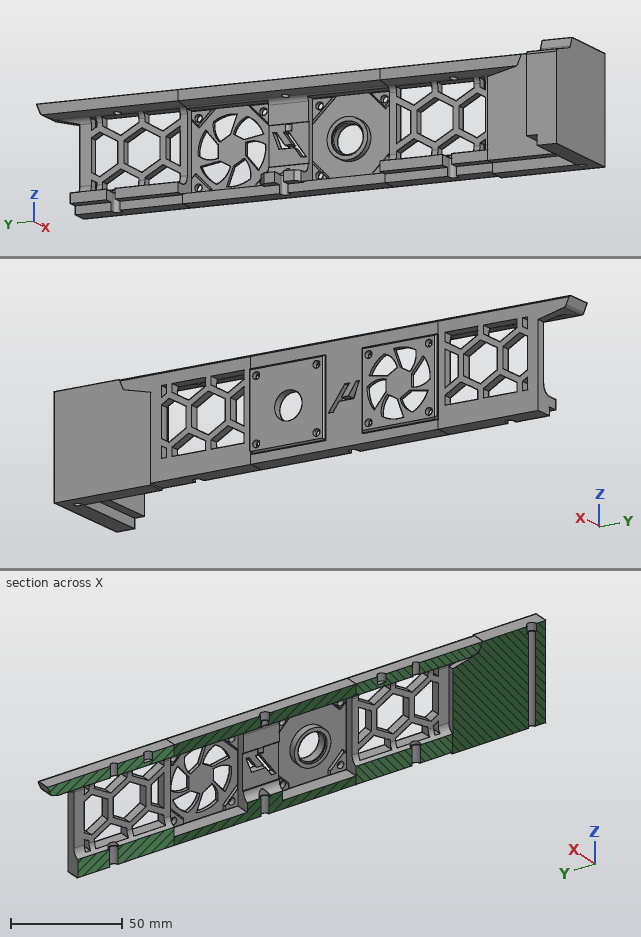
import cadquery as cq
import math

LENGTH = 275.0
HEIGHT = 52.5
OUTER_X = 52.5
DEPTH = 14.8
INNER_X = OUTER_X - DEPTH
CORNER_LENGTH = 51.5
CENTRE_LENGTH = 100.0
LAP = 16.8
CENTRE_Y = (LENGTH + CORNER_LENGTH - LAP) / 2
SEAM_Y = CENTRE_Y + CENTRE_LENGTH / 2
BODY_END_Y = LENGTH - LAP

RAIL_BOTTOM = 0.8
REBATE_TOP = 5.0
REBATE_X = INNER_X + 5.2
FLANGE_TOP = 10.0
FLANGE_FILLET = 5.0
WEB_X = 47.8
LIP_BOTTOM = 47.3
TOP_ROOT = 46.0
TOP_FILLET = 2.8
OUTER_CHAMFER = 0.8

SEAT_END = 43.7
SEAT_ROOT = 47.3
SEAT_LENGTH = 14.5
SEAT_FILLET = 2.0
END_CHAMFER_RISE = 1.0
END_CHAMFER_RUN = 0.5

SCREW_X = 44.8
SCREW_OFFSET = 83.3
PEG_OFFSET = 64.4
SCREW_HOLE = 3.5
SCREW_SLOT = 4.5
SCREW_SEAT = 5.5
PEG_HOLE = 4.5
PEG_DEPTH = 4.0
HEAD_HOLE = 5.0
HEAD_DEPTH = 4.0

CELL_FLATS = 18.0
CELL_PITCH = 21.0
CELL_Y = 227.5
CELL_Z = 29.0
WINDOW_Y = (208.5, 252.5)
WINDOW_Z = (11.5, 46.0)

COVER_SIZE = 40.2
COVER_Z = 25.5
COVER_INNER_X = 52.2
COVER_OUTER_X = 54.2
COVER_THICKNESS = COVER_OUTER_X - COVER_INNER_X
COVER_CHAMFER = 0.8
COVER_CLIP = 1.6
COVER_OFFSET = CENTRE_LENGTH / 2 - COVER_SIZE / 2
FAN_SCREW_PITCH = 32.2
FAN_SCREW_HOLE = 3.5
PAD_HEIGHT = 1.0
PAD_TAPER = 30
PAD_OUTLINES = {
    (1, 1): [(0, 0), (12.0, 0), (3.8, 8.2), (0, 4.5)],
    (-1, 1): [(0, 0), (12.0, 0), (0, 12.0)],
    (1, -1): [(0, 0), (10.2, 0), (10.2, 3.0), (2.2, 11.0), (0, 8.8)],
    (-1, -1): [(0, 0), (8.2, 0), (8.2, 3.0), (0, 11.3)],
}

BLADE_COUNT = 6
BLADE_RADIUS = 16.8
HUB_RADIUS = 7.5
HUB_HALF_ANGLE = 24
TIP_ANGLE = -39
LEADING_ANGLE = 3
SWEEP_RADIUS = 13.2
SWEEP_ANGLE = 13
BORE_SHIFT_Y = 1.0
BORE_SHIFT_Z = -0.8
COLLAR_DIAMETER = 20.0
COLLAR_HEIGHT = 3.5
BORE = 14.5
MOUTH = 16.0
MOUTH_DEPTH = 1.0

STRIP_WIDTH = CENTRE_LENGTH - 2 * COVER_SIZE
STRIP_CHAMFER = 2.5
RECESS_DEPTH = 0.5
RECESS_TOP = 34.0
GROOVE_WIDTH = 3.3
GROOVE_BOTTOM = 30.8
VENT_OUTLINES = [
    [(2.8, 30.5), (0.3, 30.5), (-8.5, 18.2), (-6.0, 18.2)],
    [(8.0, 30.8), (6.3, 30.8), (2.0, 24.2), (5.0, 22.8)],
    [(5.0, 24.5), (5.0, 22.8), (-3.8, 22.8), (-3.8, 24.5)],
]


def box(x, y, z):
    """Box between the (low, high) limits along each axis."""
    return cq.Workplane("XY").box(
        x[1] - x[0], y[1] - y[0], z[1] - z[0], centered=False
    ).translate((x[0], y[0], z[0]))


def prism_along_x(points, x_low, x_high):
    """Prism along X with an outline given as (y, z) points."""
    outline = cq.Workplane("YZ", origin=(x_low, 0, 0)).polyline(points).close()
    return outline.extrude(x_high - x_low)


def cylinder_along_z(diameter, x, y, z_low, z_high):
    circle = cq.Workplane("XY", origin=(x, y, z_low)).circle(diameter / 2)
    return circle.extrude(z_high - z_low)


def mirror_about_centre(body):
    """Mirror image about the middle of the rail."""
    return body.mirror("XZ", (0, CENTRE_Y, 0))


def channel(y_low, y_high):
    """Length of the rail's channel section, with filleted flange roots."""
    section = [
        (REBATE_X, RAIL_BOTTOM),
        (OUTER_X, RAIL_BOTTOM),
        (OUTER_X, HEIGHT - OUTER_CHAMFER),
        (OUTER_X - OUTER_CHAMFER, HEIGHT),
        (INNER_X, HEIGHT),
        (INNER_X, LIP_BOTTOM),
        (WEB_X, TOP_ROOT),
        (WEB_X, FLANGE_TOP),
        (INNER_X, FLANGE_TOP),
        (INNER_X, REBATE_TOP),
        (REBATE_X, REBATE_TOP),
    ]
    rail = cq.Workplane("XZ", origin=(0, y_high, 0)).polyline(section).close().extrude(y_high - y_low)
    lower_root = cq.selectors.NearestToPointSelector((WEB_X, (y_low + y_high) / 2, FLANGE_TOP))
    rail = rail.edges(lower_root).fillet(FLANGE_FILLET)
    upper_root = cq.selectors.NearestToPointSelector((WEB_X, (y_low + y_high) / 2, TOP_ROOT))
    return rail.edges(upper_root).fillet(TOP_FILLET)


def screw_cut(y):
    """Screw path: hole in the top flange, open slot in the bottom flange and a seat above it."""
    hole = cylinder_along_z(SCREW_HOLE, SCREW_X, y, FLANGE_TOP, HEIGHT)
    seat = cylinder_along_z(SCREW_SEAT, SCREW_X, y, FLANGE_TOP, FLANGE_TOP + FLANGE_FILLET)
    slot_end = cylinder_along_z(SCREW_SLOT, SCREW_X, y, RAIL_BOTTOM, FLANGE_TOP)
    slot_sides = (y - SCREW_SLOT / 2, y + SCREW_SLOT / 2)
    slot = box((INNER_X, SCREW_X), slot_sides, (RAIL_BOTTOM, FLANGE_TOP))
    return hole.union(seat).union(slot_end).union(slot)


def honeycomb():
    """Hexagonal cells, point up, limited to a rectangular window."""
    cell_points = []
    for row in (-1, 0, 1):
        shift = CELL_PITCH / 2 if row else 0
        for column in (-2, -1, 0, 1):
            cell_points.append((
                CELL_Y + column * CELL_PITCH + shift,
                CELL_Z + row * CELL_PITCH * math.sqrt(3) / 2,
            ))
    vertex_radius = CELL_FLATS / math.sqrt(3)
    hexagon = [
        (vertex_radius * math.sin(i * math.pi / 3), vertex_radius * math.cos(i * math.pi / 3))
        for i in range(6)
    ]
    cells = cq.Workplane("XY")
    for cell_y, cell_z in cell_points:
        outline = [(cell_y + y, cell_z + z) for y, z in hexagon]
        cells = cells.add(prism_along_x(outline, INNER_X, OUTER_X))
    window = box((INNER_X, OUTER_X), WINDOW_Y, WINDOW_Z)
    return window.intersect(cells.combine())


def lap_seat(arm_length, x_low):
    """Space above the lap seat at the end of an arm that lies along Y and is one depth wide."""
    outline = [
        (arm_length, SEAT_END),
        (arm_length - SEAT_LENGTH, SEAT_ROOT),
        (arm_length - LAP, HEIGHT),
        (arm_length, HEIGHT),
    ]
    space = prism_along_x(outline, x_low, x_low + DEPTH)
    root = (x_low + DEPTH / 2, arm_length - SEAT_LENGTH, SEAT_ROOT)
    return space.edges(cq.selectors.NearestToPointSelector(root)).fillet(SEAT_FILLET)


def make_side_panel():
    """Honeycomb panel at the high-Y end, with an overhanging top flange."""
    panel = channel(SEAM_Y, LENGTH)
    beyond_body = box((INNER_X, OUTER_X), (BODY_END_Y, LENGTH), (0, HEIGHT))
    overhang = mirror_about_centre(lap_seat(CORNER_LENGTH, INNER_X))
    panel = panel.cut(beyond_body.cut(overhang))
    panel = panel.cut(honeycomb())
    panel = panel.cut(screw_cut(CENTRE_Y + SCREW_OFFSET))
    peg_y = CENTRE_Y + PEG_OFFSET
    return panel.cut(cylinder_along_z(PEG_HOLE, SCREW_X, peg_y, HEIGHT - PEG_DEPTH, HEIGHT))


def fan_bay():
    """Space cleared for the high-Y fan: a square opening and no front flange below it."""
    y_limits = (SEAM_Y - COVER_SIZE, SEAM_Y)
    bottom = COVER_Z - COVER_SIZE / 2
    opening = box((INNER_X, OUTER_X), y_limits, (bottom, bottom + COVER_SIZE))
    front = box((INNER_X, REBATE_X), y_limits, (REBATE_TOP, bottom))
    return opening.union(front)


def strip_corner():
    """Wedge that bevels the high-Y front corner of the middle strip's bottom flange."""
    y = CENTRE_Y + STRIP_WIDTH / 2
    corner = [(INNER_X, y), (INNER_X, y - STRIP_CHAMFER), (INNER_X + STRIP_CHAMFER, y)]
    wedge = cq.Workplane("XY", origin=(0, 0, REBATE_TOP)).polyline(corner).close()
    return wedge.extrude(FLANGE_TOP - REBATE_TOP)


def bolt_vent():
    """Vent through the middle strip: two slanted slots joined by a bar at their foot."""
    vent = cq.Workplane("XY")
    for outline in VENT_OUTLINES:
        points = [(CENTRE_Y + y, z) for y, z in outline]
        vent = vent.add(prism_along_x(points, WEB_X, OUTER_X))
    return vent.combine()


def make_centre_panel():
    """Panel with two fan bays either side of a middle strip."""
    panel = channel(CENTRE_Y - CENTRE_LENGTH / 2, SEAM_Y)
    for cutter in (fan_bay(), strip_corner()):
        panel = panel.cut(cutter).cut(mirror_about_centre(cutter))
    strip = (CENTRE_Y - STRIP_WIDTH / 2, CENTRE_Y + STRIP_WIDTH / 2)
    recess_bottom = FLANGE_TOP + FLANGE_FILLET
    panel = panel.cut(box((WEB_X, WEB_X + RECESS_DEPTH), strip, (recess_bottom, RECESS_TOP)))
    groove = cylinder_along_z(GROOVE_WIDTH, WEB_X, CENTRE_Y, GROOVE_BOTTOM, RECESS_TOP)
    head = cylinder_along_z(HEAD_HOLE, SCREW_X, CENTRE_Y, HEIGHT - HEAD_DEPTH, HEIGHT)
    for cutter in (groove, head, bolt_vent(), screw_cut(CENTRE_Y)):
        panel = panel.cut(cutter)
    return panel


def cover_pads(y):
    """Tapered pads at the four corners of the inner face of the cover centred at y."""
    half = COVER_SIZE / 2
    outward = math.copysign(1, y - CENTRE_Y)
    base = cq.Workplane("YZ", origin=(COVER_INNER_X, y, COVER_Z))
    pads = cq.Workplane("XY")
    for (side, end), outline in PAD_OUTLINES.items():
        points = [(outward * side * (half - along), end * (half - rise)) for along, rise in outline]
        pad = base.polyline(points).close().extrude(-PAD_HEIGHT, taper=PAD_TAPER)
        pads = pads.add(pad)
    return pads.combine()


def make_cover(y):
    """Square fan cover with bevelled outer edges, corner pads and screw holes."""
    half = COVER_SIZE / 2
    plate = cq.Workplane("YZ", origin=(COVER_INNER_X, y, COVER_Z)).rect(COVER_SIZE, COVER_SIZE)
    cover = plate.extrude(COVER_THICKNESS).faces(">X").edges().chamfer(COVER_CHAMFER)
    cover = cover.union(cover_pads(y))
    screws = cq.Workplane("YZ", origin=(INNER_X, y, COVER_Z))
    screws = screws.rect(FAN_SCREW_PITCH, FAN_SCREW_PITCH, forConstruction=True).vertices()
    cover = cover.cut(screws.circle(FAN_SCREW_HOLE / 2).extrude(DEPTH + COVER_THICKNESS))
    outward = math.copysign(1, y - CENTRE_Y)
    seam = y + outward * half
    bottom = COVER_Z - half
    clip = [(seam, bottom), (seam - outward * COVER_CLIP, bottom), (seam, bottom + COVER_CLIP)]
    return cover.cut(prism_along_x(clip, INNER_X, COVER_OUTER_X))


def polar(radius, degrees):
    """(y, z) point at a radius and an angle measured from -Y towards +Z."""
    angle = math.radians(degrees)
    return (-radius * math.cos(angle), radius * math.sin(angle))


def blade_opening(turn):
    """Opening between two swirling spokes of the fan grille."""
    grille = cq.Workplane("YZ", origin=(COVER_INNER_X, CENTRE_Y + COVER_OFFSET, COVER_Z))
    rim_middle = (TIP_ANGLE + LEADING_ANGLE) / 2
    outline = (
        grille.moveTo(*polar(HUB_RADIUS, turn - HUB_HALF_ANGLE))
        .lineTo(*polar(BLADE_RADIUS, turn + TIP_ANGLE))
        .threePointArc(polar(BLADE_RADIUS, turn + rim_middle), polar(BLADE_RADIUS, turn + LEADING_ANGLE))
        .threePointArc(polar(SWEEP_RADIUS, turn + SWEEP_ANGLE), polar(HUB_RADIUS, turn + HUB_HALF_ANGLE))
        .close()
    )
    return outline.extrude(COVER_THICKNESS)


def make_grille_cover():
    cover = make_cover(CENTRE_Y + COVER_OFFSET)
    for i in range(BLADE_COUNT):
        cover = cover.cut(blade_opening(i * 360 / BLADE_COUNT))
    return cover


def make_bore_cover():
    """Cover with a stepped bore through a collar that stands on its inner face."""
    y = CENTRE_Y - COVER_OFFSET
    mouth_x = COVER_INNER_X - COLLAR_HEIGHT
    bore_axis = cq.Workplane("YZ", origin=(mouth_x, y + BORE_SHIFT_Y, COVER_Z + BORE_SHIFT_Z))
    cover = make_cover(y).union(bore_axis.circle(COLLAR_DIAMETER / 2).extrude(COLLAR_HEIGHT))
    cover = cover.cut(bore_axis.circle(MOUTH / 2).extrude(MOUTH_DEPTH))
    return cover.cut(bore_axis.circle(BORE / 2).extrude(COLLAR_HEIGHT + COVER_THICKNESS))


def make_corner_block():
    """Solid L-shaped block with lap seats at both arm ends and a rebate along its inner foot."""
    block = box((0, OUTER_X), (0, DEPTH), (0, HEIGHT))
    block = block.union(box((INNER_X, OUTER_X), (0, CORNER_LENGTH), (0, HEIGHT)))
    foot_depth = REBATE_X - INNER_X
    block = block.cut(box((0, REBATE_X), (DEPTH - foot_depth, CORNER_LENGTH), (0, REBATE_TOP)))
    block = block.cut(lap_seat(CORNER_LENGTH, INNER_X))
    x_arm_seat = lap_seat(OUTER_X, 0).rotate((0, 0, 0), (0, 0, 1), 90).translate((OUTER_X, 0, 0))
    block = block.cut(x_arm_seat)
    block = block.faces("<X").edges(">Z").chamfer(END_CHAMFER_RISE, END_CHAMFER_RUN)
    mitre_y = OUTER_X - SCREW_X
    block = block.cut(cylinder_along_z(SCREW_HOLE, SCREW_X, mitre_y, 0, HEIGHT))
    return block.cut(cylinder_along_z(HEAD_HOLE, SCREW_X, mitre_y, HEIGHT - HEAD_DEPTH, HEIGHT))


far_panel = make_side_panel()
near_panel = mirror_about_centre(far_panel)
centre_panel = make_centre_panel()
grille_cover = make_grille_cover()
bore_cover = make_bore_cover()
corner_block = make_corner_block()

result = cq.Compound.makeCompound([
    far_panel.solids().val(),
    near_panel.solids().val(),
    centre_panel.solids().val(),
    grille_cover.solids().val(),
    bore_cover.solids().val(),
    corner_block.solids().val(),
])